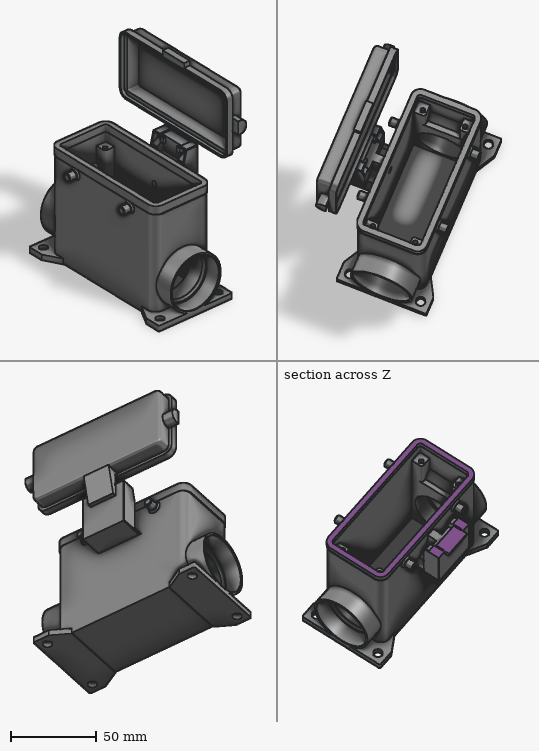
import cadquery as cq

CUT_CLEARANCE = 1.0

RIM_LENGTH = 94.5
BODY_LENGTH = 93.5
RIM_WIDTH = 44.0
BODY_WIDTH = 43.75
BODY_CORNER_RADIUS = 6.0
BODY_BOTTOM_Z = 0.5
RIM_TOP_Z = 77.25
RIM_HEIGHT = 6.0
WALL = 3.75
CAVITY_LENGTH = RIM_LENGTH - 2 * WALL
CAVITY_WIDTH = RIM_WIDTH - 2 * WALL
CAVITY_CORNER_RADIUS = 2.0
CAVITY_STEP_Z = 72.0
CAVITY_STEP = 0.125
FLOOR_TOP_Z = 3.5

END_WALL_INNER_X = 35.75
END_LEDGE_OUTER_X = 39.0
END_LEDGE_Z = 48.0
END_SLOPE_TOP_Z = 53.75
POST_TOP_Z = 65.0
POST_INNER_Y = 10.75
POST_EDGE_RADIUS = 1.5
POST_SCREW_X = 38.75
POST_SCREW_Y = 13.5
POST_SCREW_DIAMETER = 3.0
POST_SCREW_DEPTH = 10.0

FOOT_END_X = 58.5
FOOT_HALF_WIDTH = 28.5
FOOT_THICKNESS = 4.0
FOOT_SHOULDER_X = 47.25
FOOT_INNER_X = 35.25
FOOT_CORNER_RADIUS = 0.75
FOOT_HOLE_X = 52.5
FOOT_HOLE_Y = 22.5
FOOT_HOLE_DIAMETER = 5.6

ENTRY_Z = 22.25
ENTRY_OUTER_RADIUS = 19.5
ENTRY_SOCKET_RADIUS = 18.0
ENTRY_MOUTH_CHAMFER = 0.25
ENTRY_SEAT_RADIUS = 17.0
ENTRY_BORE_RADIUS = 15.75
ENTRY_SOCKET_BOTTOM_X = 47.75
ENTRY_SEAT_BOTTOM_X = 46.0
ENTRY_SEAT_FILLET = 1.0

PIN_X = 24.5
PIN_Z = 67.5
PIN_TIP_Y = 28.5
PIN_RADIUS = 2.6
PIN_TIP_CHAMFER = 0.5
PIN_BASE_RADIUS = 4.0
PIN_BASE_TOP_RADIUS = 3.25
PIN_BASE_HEIGHT = 1.4

COVER_CENTER_Z = 111.5
COVER_FRONT_Y = 33.0
COVER_BACK_Y = 46.75
COVER_RIM_LENGTH = 97.0
COVER_RIM_HEIGHT = 46.0
COVER_RIM_BACK_Y = 37.5
COVER_RIM_RADIUS = 6.0
COVER_SHELL_INSET = 2.25
COVER_BACK_FILLET = 2.2
COVER_LIP = 1.25
COVER_SEAT_DEPTH = 2.5
COVER_POCKET_INSET = 3.9
COVER_POCKET_RADIUS = 1.5
COVER_BACK_THICKNESS = 2.0
TAB_LENGTH = 19.25
TAB_TOP_Z = 137.75
EAR_TIP_X = 53.375
EAR_RADIUS = 4.75
EAR_AXIS_Y = 39.0

ARM_WIDTH = 18.0
ARM_BOTTOM_Z = 72.5
ARM_TIP_BACK_Y = 41.75
ARM_FRONT_Y = 39.6
ARM_SLOPE_TOP_Y = 46.3
ARM_SLOPE_TOP_Z = 91.5

HINGE_WIDTH = 30.0
HINGE_BACK_Y = 39.25
HINGE_TOP_Z = 81.5
HINGE_BOTTOM_Z = 50.25
HINGE_TOP_FRONT_Y = 30.5
HINGE_FRONT_Y = 28.25
HINGE_SLOPE_BOTTOM_Z = 72.25
HINGE_TOE_Y = 23.75
HINGE_TOE_TOP_Z = 52.0
HINGE_SIDE_WALL = 1.0
HINGE_ROOF = 1.0
HINGE_LEDGE_Z = 69.0
KNUCKLE_HALF_WIDTH = 8.7
KNUCKLE_FRONT_Y = 30.5
KNUCKLE_TOP_Z = 81.0
KNUCKLE_SLIT_WIDTH = 0.55
KNUCKLE_SLIT_BACK_Y = 38.0
LUG_INNER_X = 6.0
LUG_TOP_Z = 79.7
LUG_BOTTOM_Z = 76.0
WINDOW_TOP_Y = 31.75
WINDOW_BOTTOM_Y = 33.2
SIDE_POCKET_BACK_Y = 33.0
SIDE_POCKET_BACK_Z = 76.0
SIDE_POCKET_FRONT_Z = 73.0
HINGE_EDGE_CHAMFER = 0.4

BRACKET_FRONT_Y = 21.0
BRACKET_BACK_Y = 28.5
BRACKET_TOP_Z = HINGE_LEDGE_Z
BRACKET_BASE_Z = 52.0
BRACKET_BASE_HALF_WIDTH = 14.9
BRACKET_FOOT_X = 11.1
BRACKET_FOOT_Z = 55.3
BRACKET_FLARE_X = 5.1
BRACKET_FLARE_Z = 57.5
BRACKET_NECK_HALF_WIDTH = 2.75
BRACKET_NECK_Z = 63.4
BRACKET_SCREW_Z = 56.0
BRACKET_SCREW_DIAMETER = 4.0
BRACKET_SCREW_END_Y = 24.0


def box(x0, x1, y0, y1, z0, z1):
    """Block between two opposite corners."""
    return cq.Workplane("XY").box(x1 - x0, y1 - y0, z1 - z0, centered=False).translate((x0, y0, z0))


def upright_prism(length, width, z0, z1, corner_radius):
    """Rounded rectangle centred on the Z axis."""
    block = box(-length / 2, length / 2, -width / 2, width / 2, z0, z1)
    return block.edges("|Z").fillet(corner_radius)


def cover_prism(length, height, y0, y1, corner_radius):
    """Rounded rectangle centred on the cover, running along Y."""
    z0 = COVER_CENTER_Z - height / 2
    block = box(-length / 2, length / 2, y0, y1, z0, z0 + height)
    return block.edges("|Y").fillet(corner_radius)


def x_cylinder(radius, x0, x1, y, z):
    return cq.Workplane("YZ", origin=(x0, 0, 0)).center(y, z).circle(radius).extrude(x1 - x0)


def z_cylinder(radius, x, y, z0, z1):
    return cq.Workplane("XY", origin=(x, y, z0)).circle(radius).extrude(z1 - z0)


def yz_prism(points, x0, x1):
    """Outline of (Y, Z) points extruded between two X positions."""
    return cq.Workplane("YZ", origin=(x0, 0, 0)).polyline(points).close().extrude(x1 - x0)


def mirrored_in_x(shape):
    return shape.union(shape.mirror("YZ"))


def make_shell():
    rim = upright_prism(RIM_LENGTH, RIM_WIDTH, RIM_TOP_Z - RIM_HEIGHT, RIM_TOP_Z, BODY_CORNER_RADIUS)
    body = upright_prism(BODY_LENGTH, BODY_WIDTH, BODY_BOTTOM_Z, RIM_TOP_Z - RIM_HEIGHT, BODY_CORNER_RADIUS)
    return body.union(rim)


def make_cavity():
    """Inner space, leaving the thick end walls and screw posts standing."""
    mouth = upright_prism(
        CAVITY_LENGTH, CAVITY_WIDTH, CAVITY_STEP_Z, RIM_TOP_Z + CUT_CLEARANCE, CAVITY_CORNER_RADIUS
    )
    lower_length = CAVITY_LENGTH - 2 * CAVITY_STEP
    lower_width = CAVITY_WIDTH - 2 * CAVITY_STEP
    space = upright_prism(
        lower_length, lower_width, FLOOR_TOP_Z, CAVITY_STEP_Z, CAVITY_CORNER_RADIUS + CAVITY_STEP
    ).union(mouth)
    end_x = CAVITY_LENGTH / 2
    end_wall = (
        cq.Workplane("XZ")
        .polyline([
            (END_WALL_INNER_X, FLOOR_TOP_Z),
            (end_x, FLOOR_TOP_Z),
            (end_x, END_SLOPE_TOP_Z),
            (END_LEDGE_OUTER_X, END_LEDGE_Z),
            (END_WALL_INNER_X, END_LEDGE_Z),
        ])
        .close()
        .extrude(CAVITY_WIDTH / 2, both=True)
    )
    posts = end_wall
    for side in (-1, 1):
        y0, y1 = sorted((side * POST_INNER_Y, side * CAVITY_WIDTH / 2))
        post = box(END_WALL_INNER_X, end_x, y0, y1, END_LEDGE_Z, POST_TOP_Z)
        inner_edge = cq.selectors.NearestToPointSelector(
            (END_WALL_INNER_X, side * POST_INNER_Y, (END_LEDGE_Z + POST_TOP_Z) / 2)
        )
        post = post.edges(inner_edge).fillet(POST_EDGE_RADIUS)
        screw_y = side * POST_SCREW_Y
        screw_bottom_z = POST_TOP_Z - POST_SCREW_DEPTH
        screw = z_cylinder(POST_SCREW_DIAMETER / 2, POST_SCREW_X, screw_y, screw_bottom_z, POST_TOP_Z)
        posts = posts.union(post).cut(screw)
    return space.cut(mirrored_in_x(posts))


def make_foot():
    """Mounting foot at the +X end."""
    half_body = BODY_WIDTH / 2
    foot = (
        cq.Workplane("XY")
        .polyline([
            (FOOT_INNER_X, -half_body),
            (FOOT_SHOULDER_X, -FOOT_HALF_WIDTH),
            (FOOT_END_X, -FOOT_HALF_WIDTH),
            (FOOT_END_X, FOOT_HALF_WIDTH),
            (FOOT_SHOULDER_X, FOOT_HALF_WIDTH),
            (FOOT_INNER_X, half_body),
        ])
        .close()
        .extrude(FOOT_THICKNESS)
        .edges("|Z and >X")
        .fillet(FOOT_CORNER_RADIUS)
    )
    for y in (-FOOT_HOLE_Y, FOOT_HOLE_Y):
        foot = foot.cut(z_cylinder(FOOT_HOLE_DIAMETER / 2, FOOT_HOLE_X, y, 0, FOOT_THICKNESS))
    return foot


def make_entry_hub():
    """Outside of the +X cable entry, reaching into the thick end wall."""
    return x_cylinder(ENTRY_OUTER_RADIUS, END_LEDGE_OUTER_X, FOOT_END_X, 0, ENTRY_Z)


def make_entry_bore():
    """Stepped bore of the +X cable entry, chamfered at its mouth."""
    mouth_radius = ENTRY_SOCKET_RADIUS + ENTRY_MOUTH_CHAMFER
    return (
        cq.Workplane("XZ")
        .moveTo(0, 0)
        .lineTo(0, ENTRY_BORE_RADIUS)
        .lineTo(ENTRY_SEAT_BOTTOM_X, ENTRY_BORE_RADIUS)
        .lineTo(ENTRY_SEAT_BOTTOM_X, ENTRY_SEAT_RADIUS - ENTRY_SEAT_FILLET)
        .radiusArc((ENTRY_SEAT_BOTTOM_X + ENTRY_SEAT_FILLET, ENTRY_SEAT_RADIUS), ENTRY_SEAT_FILLET)
        .lineTo(ENTRY_SOCKET_BOTTOM_X, ENTRY_SEAT_RADIUS)
        .lineTo(ENTRY_SOCKET_BOTTOM_X, ENTRY_SOCKET_RADIUS)
        .lineTo(FOOT_END_X - ENTRY_MOUTH_CHAMFER, ENTRY_SOCKET_RADIUS)
        .lineTo(FOOT_END_X, mouth_radius)
        .lineTo(FOOT_END_X, 0)
        .close()
        .revolve(360, (0, 0), (1, 0))
        .translate((0, 0, ENTRY_Z))
    )


def make_pin():
    """Locking pin with a conical base, on the -Y wall at +X."""
    wall_y = BODY_WIDTH / 2
    base_y = wall_y + PIN_BASE_HEIGHT
    root_y = wall_y - WALL / 2
    return (
        cq.Workplane("XY")
        .polyline([
            (0, -root_y),
            (PIN_BASE_RADIUS, -root_y),
            (PIN_BASE_RADIUS, -wall_y),
            (PIN_BASE_TOP_RADIUS, -base_y),
            (PIN_RADIUS, -base_y),
            (PIN_RADIUS, PIN_TIP_CHAMFER - PIN_TIP_Y),
            (PIN_RADIUS - PIN_TIP_CHAMFER, -PIN_TIP_Y),
            (0, -PIN_TIP_Y),
        ])
        .close()
        .revolve(360, (0, 0), (0, 1))
        .translate((PIN_X, 0, PIN_Z))
    )


def make_cover():
    shell_length = COVER_RIM_LENGTH - 2 * COVER_SHELL_INSET
    shell_height = COVER_RIM_HEIGHT - 2 * COVER_SHELL_INSET
    seat_back_y = COVER_FRONT_Y + COVER_SEAT_DEPTH
    rim = cover_prism(COVER_RIM_LENGTH, COVER_RIM_HEIGHT, COVER_FRONT_Y, COVER_RIM_BACK_Y, COVER_RIM_RADIUS)
    shell = cover_prism(
        shell_length, shell_height, COVER_FRONT_Y, COVER_BACK_Y, COVER_RIM_RADIUS - COVER_SHELL_INSET
    )
    shell = shell.faces(">Y").edges().fillet(COVER_BACK_FILLET)
    tab = box(-TAB_LENGTH / 2, TAB_LENGTH / 2, COVER_FRONT_Y, COVER_RIM_BACK_Y, COVER_CENTER_Z, TAB_TOP_Z)
    ears = x_cylinder(EAR_RADIUS, -EAR_TIP_X, EAR_TIP_X, EAR_AXIS_Y, COVER_CENTER_Z)
    ears = ears.intersect(
        box(
            -EAR_TIP_X, EAR_TIP_X, COVER_RIM_BACK_Y, COVER_BACK_Y,
            COVER_CENTER_Z - EAR_RADIUS, COVER_CENTER_Z + EAR_RADIUS,
        )
    )
    seat = cover_prism(
        COVER_RIM_LENGTH - 2 * COVER_LIP, COVER_RIM_HEIGHT - 2 * COVER_LIP,
        COVER_FRONT_Y, seat_back_y, COVER_RIM_RADIUS - COVER_LIP,
    )
    pocket = cover_prism(
        COVER_RIM_LENGTH - 2 * COVER_POCKET_INSET, COVER_RIM_HEIGHT - 2 * COVER_POCKET_INSET,
        COVER_FRONT_Y, COVER_BACK_Y - COVER_BACK_THICKNESS, COVER_POCKET_RADIUS,
    )
    arm = make_cover_arm()
    return rim.union(shell).union(tab).union(ears).union(arm).cut(seat).cut(pocket)


def make_cover_arm():
    """Tapered arm that hangs from the cover down behind the hinge block."""
    rim_bottom_z = COVER_CENTER_Z - COVER_RIM_HEIGHT / 2
    pocket_bottom_z = rim_bottom_z + COVER_POCKET_INSET
    shoulder_z = HINGE_TOP_Z - HINGE_ROOF
    outline = [
        (HINGE_BACK_Y, ARM_BOTTOM_Z),
        (ARM_TIP_BACK_Y, ARM_BOTTOM_Z),
        (ARM_SLOPE_TOP_Y, ARM_SLOPE_TOP_Z),
        (COVER_BACK_Y - COVER_BACK_FILLET, pocket_bottom_z),
        (COVER_RIM_BACK_Y, pocket_bottom_z),
        (COVER_RIM_BACK_Y, rim_bottom_z),
        (ARM_FRONT_Y, rim_bottom_z),
        (ARM_FRONT_Y, shoulder_z),
        (HINGE_BACK_Y, shoulder_z),
    ]
    return yz_prism(outline, -ARM_WIDTH / 2, ARM_WIDTH / 2)


def make_hinge_body():
    """Hinge block with a sloped upper front and a toe at its foot, still without its openings."""
    outline = [
        (HINGE_BACK_Y, HINGE_BOTTOM_Z),
        (HINGE_BACK_Y, HINGE_TOP_Z),
        (HINGE_TOP_FRONT_Y, HINGE_TOP_Z),
        (HINGE_FRONT_Y, HINGE_SLOPE_BOTTOM_Z),
        (HINGE_FRONT_Y, HINGE_TOE_TOP_Z),
        (HINGE_TOE_Y, HINGE_TOE_TOP_Z),
        (HINGE_TOE_Y, HINGE_BOTTOM_Z),
    ]
    body = yz_prism(outline, -HINGE_WIDTH / 2, HINGE_WIDTH / 2)
    return body.edges("(<X or >X) and (>Y or >Z or <Z)").chamfer(HINGE_EDGE_CHAMFER)


def make_knuckle_relief():
    """Space around the front of the central knuckle: a leaning face with a lug at each upper corner."""
    space = yz_prism(
        [
            (HINGE_TOE_Y, HINGE_LEDGE_Z),
            (WINDOW_BOTTOM_Y, HINGE_LEDGE_Z),
            (WINDOW_TOP_Y, KNUCKLE_TOP_Z),
            (HINGE_BACK_Y, KNUCKLE_TOP_Z),
            (HINGE_BACK_Y, HINGE_TOP_Z),
            (HINGE_TOE_Y, HINGE_TOP_Z),
        ],
        -KNUCKLE_HALF_WIDTH,
        KNUCKLE_HALF_WIDTH,
    )
    lug = box(
        LUG_INNER_X, KNUCKLE_HALF_WIDTH, KNUCKLE_FRONT_Y, WINDOW_BOTTOM_Y, LUG_BOTTOM_Z, LUG_TOP_Z
    )
    return space.cut(mirrored_in_x(lug))


def make_side_relief():
    """Slit beside the knuckle and the sloped-floor pocket beyond it, on the +X side."""
    slit_end_x = KNUCKLE_HALF_WIDTH + KNUCKLE_SLIT_WIDTH
    slit = box(KNUCKLE_HALF_WIDTH, slit_end_x, HINGE_TOE_Y, KNUCKLE_SLIT_BACK_Y, HINGE_LEDGE_Z, HINGE_TOP_Z)
    pocket_top_z = HINGE_TOP_Z - HINGE_ROOF
    pocket = yz_prism(
        [
            (HINGE_TOE_Y, SIDE_POCKET_FRONT_Z),
            (HINGE_FRONT_Y, SIDE_POCKET_FRONT_Z),
            (SIDE_POCKET_BACK_Y, SIDE_POCKET_BACK_Z),
            (SIDE_POCKET_BACK_Y, pocket_top_z),
            (HINGE_TOE_Y, pocket_top_z),
        ],
        slit_end_x,
        HINGE_WIDTH / 2 - HINGE_SIDE_WALL,
    )
    return slit.union(pocket)


def make_hinge_block():
    return make_hinge_body().cut(make_knuckle_relief()).cut(mirrored_in_x(make_side_relief()))


def arc_radius(run, rise):
    """Radius of an arc that starts along the run direction and has climbed by the rise at its end."""
    return (run**2 + rise**2) / (2 * rise)


def make_bracket():
    """Bell-shaped bracket: a narrow neck flaring in two arcs to a wide base."""
    foot_radius = arc_radius(BRACKET_FOOT_X - BRACKET_FLARE_X, BRACKET_FLARE_Z - BRACKET_FOOT_Z)
    neck_radius = arc_radius(BRACKET_NECK_Z - BRACKET_FLARE_Z, BRACKET_FLARE_X - BRACKET_NECK_HALF_WIDTH)
    half = (
        cq.Workplane("XZ", origin=(0, BRACKET_BACK_Y, 0))
        .moveTo(0, BRACKET_BASE_Z)
        .lineTo(BRACKET_BASE_HALF_WIDTH, BRACKET_BASE_Z)
        .lineTo(BRACKET_FOOT_X, BRACKET_FOOT_Z)
        .radiusArc((BRACKET_FLARE_X, BRACKET_FLARE_Z), foot_radius)
        .radiusArc((BRACKET_NECK_HALF_WIDTH, BRACKET_NECK_Z), neck_radius)
        .lineTo(BRACKET_NECK_HALF_WIDTH, BRACKET_TOP_Z)
        .lineTo(0, BRACKET_TOP_Z)
        .close()
        .extrude(BRACKET_BACK_Y - BRACKET_FRONT_Y)
    )
    return mirrored_in_x(half)


def make_bracket_screw_hole():
    """Blind hole drilled from the cavity through the wall into the bracket."""
    depth = BRACKET_SCREW_END_Y - CAVITY_WIDTH / 2
    hole_end = cq.Workplane("XZ", origin=(0, BRACKET_SCREW_END_Y, BRACKET_SCREW_Z))
    return hole_end.circle(BRACKET_SCREW_DIAMETER / 2).extrude(depth)


housing = make_shell().union(mirrored_in_x(make_foot())).union(mirrored_in_x(make_entry_hub()))
housing = housing.cut(make_cavity()).cut(mirrored_in_x(make_entry_bore()))
front_pins = mirrored_in_x(make_pin())
pins = front_pins.union(front_pins.mirror("XZ"))
hinge = make_hinge_block().union(make_bracket())
result = housing.union(pins).union(hinge).union(make_cover()).cut(make_bracket_screw_hole())